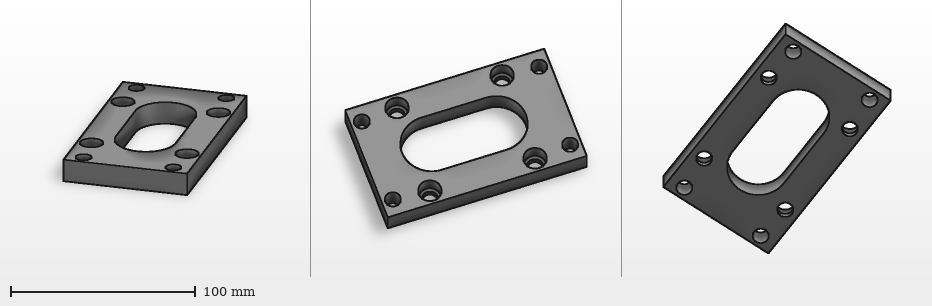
import cadquery as cq

width = 69.8
length = 114.3
thickness = 12.7

window_width = 33.8
window_length = 71.1
window_offset_y = 1.1

hole_diameter = 8.7
corner_spacing_x = 50.7
corner_spacing_y = 101.7

bore_diameter = 12.7
bore_depth = 9.1
bore_spacing_x = 54.0
bore_spacing_y = 60.4

plate = cq.Workplane("XY").box(width, length, thickness)

plate = (
    plate.faces(">Z").workplane(origin=(0, 0, 0))
    .center(0, window_offset_y)
    .slot2D(window_length, window_width, 90)
    .cutThruAll()
)

plate = (
    plate.faces(">Z").workplane(origin=(0, 0, 0))
    .rarray(corner_spacing_x, corner_spacing_y, 2, 2)
    .hole(hole_diameter)
)

result = (
    plate.faces(">Z").workplane(origin=(0, 0, 0))
    .rarray(bore_spacing_x, bore_spacing_y, 2, 2)
    .cboreHole(hole_diameter, bore_diameter, bore_depth)
)